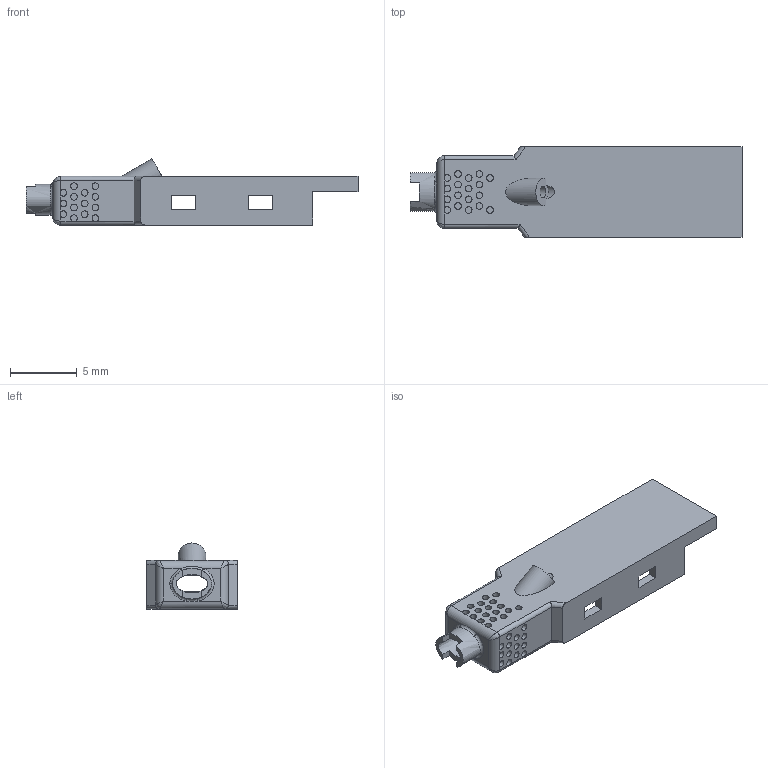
import math

import cadquery as cq


TOTAL_LENGTH = 24.9
BODY_WIDTH = 6.8
BODY_HEIGHT = 3.65
NOSE_X = 2.0
NECK_WIDTH = 5.46
NOSE_RADIUS = 0.6
EDGE_RADIUS = 0.3

SHOULDER_LENGTH = 0.5
LEFT_SHOULDER_X = 7.8
RIGHT_SHOULDER_X = 8.1

STEP_X = 21.5
TAB_UNDERSIDE_Z = 2.5

CAVITY_START_X = RIGHT_SHOULDER_X + SHOULDER_LENGTH
SIDE_WALL = 0.65

NOZZLE_Z = 1.9
NOZZLE_SEMI_Y = 1.46
NOZZLE_SEMI_Z = 1.15
NOZZLE_ROOT_RADIUS = 0.2
BORE_SEMI_Y = 1.18
BORE_SEMI_Z = 0.69
PASSAGE_FLOOR_Z = 1.32
NOZZLE_SLOT_WIDTH = 1.42
NOZZLE_SLOT_DEPTH = 0.7

WINDOW_LENGTH = 1.8
WINDOW_HEIGHT = 1.07
WINDOW_BOTTOM_Z = 1.18
WINDOW_CENTRES_X = (11.83, 17.6)

DIMPLE_DIAMETER = 0.5
DIMPLE_DEPTH = 0.4
DIMPLE_PITCH = 0.8
DIMPLE_START_X = 2.8
TOP_FULL_COLUMNS = 4
TOP_ROWS = 4
TOP_STAGGER = 0.15
SIDE_COLUMNS = 4
SIDE_ROWS = 4
SIDE_LOW_Z = 0.52
SIDE_STAGGER = 0.3

TUBE_ANGLE = 30
TUBE_RADIUS = 1.04
TUBE_BORE_DIAMETER = 0.9
TUBE_APEX_X = 9.44
TUBE_APEX_Z = 4.96
RELIEF_RADIUS = 0.6
RELIEF_END_X = 10.84


def block(start_x, end_x, width, bottom_z, top_z):
    return (
        cq.Workplane("XY", origin=(start_x, 0, bottom_z))
        .box(end_x - start_x, width, top_z - bottom_z, centered=(False, True, False))
    )


def make_body():
    half_neck = NECK_WIDTH / 2
    half_body = BODY_WIDTH / 2
    body = (
        cq.Workplane("XY")
        .moveTo(NOSE_X, -half_neck)
        .lineTo(RIGHT_SHOULDER_X, -half_neck)
        .lineTo(RIGHT_SHOULDER_X + SHOULDER_LENGTH, -half_body)
        .lineTo(TOTAL_LENGTH, -half_body)
        .lineTo(TOTAL_LENGTH, half_body)
        .lineTo(LEFT_SHOULDER_X + SHOULDER_LENGTH, half_body)
        .lineTo(LEFT_SHOULDER_X, half_neck)
        .lineTo(NOSE_X, half_neck)
        .close()
        .extrude(BODY_HEIGHT)
    )
    body = body.faces("<X").edges().fillet(NOSE_RADIUS)
    margin = EDGE_RADIUS / 2
    neck_edges = cq.selectors.BoxSelector(
        (NOSE_X + NOSE_RADIUS / 2, -half_body + margin, -margin),
        (RIGHT_SHOULDER_X + SHOULDER_LENGTH, half_body - margin, BODY_HEIGHT + margin),
    )
    body = body.edges(neck_edges).edges("#Z").fillet(EDGE_RADIUS)
    step = block(STEP_X, TOTAL_LENGTH, BODY_WIDTH, 0, TAB_UNDERSIDE_Z)
    cavity = block(CAVITY_START_X, STEP_X, BODY_WIDTH - 2 * SIDE_WALL, 0, TAB_UNDERSIDE_Z)
    return body.cut(step).cut(cavity)


def nozzle_oval(start_x, end_x, semi_y, semi_z):
    return (
        cq.Workplane("YZ", origin=(start_x, 0, NOZZLE_Z))
        .ellipse(semi_y, semi_z)
        .extrude(end_x - start_x)
    )


def add_nozzle(body):
    barrel = nozzle_oval(0, NOSE_X + NOSE_RADIUS, NOZZLE_SEMI_Y, NOZZLE_SEMI_Z)
    margin = NOZZLE_ROOT_RADIUS / 2
    root_edges = cq.selectors.BoxSelector(
        (NOSE_X - margin, -NOZZLE_SEMI_Y, NOZZLE_Z - NOZZLE_SEMI_Z / 2),
        (NOSE_X + margin, NOZZLE_SEMI_Y, NOZZLE_Z + NOZZLE_SEMI_Z / 2),
    )
    body = body.union(barrel).edges(root_edges).fillet(NOZZLE_ROOT_RADIUS)
    bore = nozzle_oval(0, NOSE_X + NOSE_RADIUS, BORE_SEMI_Y, BORE_SEMI_Z)
    passage = nozzle_oval(0, CAVITY_START_X, BORE_SEMI_Y, BORE_SEMI_Z).intersect(
        block(0, CAVITY_START_X, BODY_WIDTH, PASSAGE_FLOOR_Z, TAB_UNDERSIDE_Z)
    )
    slot = block(0, NOZZLE_SLOT_DEPTH, NOZZLE_SLOT_WIDTH, 0, BODY_HEIGHT)
    return body.cut(bore).cut(passage).cut(slot)


def cut_windows(body):
    for centre_x in WINDOW_CENTRES_X:
        window = block(
            centre_x - WINDOW_LENGTH / 2,
            centre_x + WINDOW_LENGTH / 2,
            BODY_WIDTH,
            WINDOW_BOTTOM_Z,
            WINDOW_BOTTOM_Z + WINDOW_HEIGHT,
        )
        body = body.cut(window)
    return body


def top_dimple_points():
    points = []
    for column in range(TOP_FULL_COLUMNS + 1):
        centre_y = TOP_STAGGER if column % 2 else -TOP_STAGGER
        rows = range(TOP_ROWS) if column < TOP_FULL_COLUMNS else (0, TOP_ROWS - 1)
        for row in rows:
            y = centre_y + (row - (TOP_ROWS - 1) / 2) * DIMPLE_PITCH
            points.append((DIMPLE_START_X + column * DIMPLE_PITCH, y))
    return points


def side_dimple_points():
    points = []
    for column in range(SIDE_COLUMNS):
        low_z = SIDE_LOW_Z if column % 2 else SIDE_LOW_Z + SIDE_STAGGER
        row_count = SIDE_ROWS if column % 2 else SIDE_ROWS - 1
        for row in range(row_count):
            points.append((DIMPLE_START_X + column * DIMPLE_PITCH, low_z + row * DIMPLE_PITCH))
    return points


def cut_dimples(body):
    top = (
        cq.Workplane("XY", origin=(0, 0, BODY_HEIGHT))
        .pushPoints(top_dimple_points())
        .circle(DIMPLE_DIAMETER / 2)
        .extrude(-DIMPLE_DEPTH)
    )
    side = (
        cq.Workplane("XZ", origin=(0, -NECK_WIDTH / 2, 0))
        .pushPoints(side_dimple_points())
        .circle(DIMPLE_DIAMETER / 2)
        .extrude(-DIMPLE_DEPTH)
    )
    return body.cut(top).cut(side)


def add_tube(body):
    cosine = math.cos(math.radians(TUBE_ANGLE))
    sine = math.sin(math.radians(TUBE_ANGLE))
    mouth_x = TUBE_APEX_X + TUBE_RADIUS * sine
    mouth_z = TUBE_APEX_Z - TUBE_RADIUS * cosine
    length = (mouth_z - NOZZLE_Z) / sine
    mouth = cq.Workplane(
        cq.Plane(origin=(mouth_x, 0, mouth_z), xDir=(0, 1, 0), normal=(cosine, 0, sine))
    )

    relief_drop = RELIEF_RADIUS - (
        (mouth_z - BODY_HEIGHT) * cosine + (RELIEF_END_X - mouth_x) * sine
    )
    relief = mouth.center(0, relief_drop).circle(RELIEF_RADIUS).extrude(length)

    above_roof = block(0, TOTAL_LENGTH, BODY_WIDTH, TAB_UNDERSIDE_Z, TUBE_APEX_Z)
    tube = mouth.circle(TUBE_RADIUS).extrude(-length)
    bore = mouth.circle(TUBE_BORE_DIAMETER / 2).extrude(-length)

    return body.cut(relief).union(tube.intersect(above_roof)).cut(bore)


result = make_body()
result = add_nozzle(result)
result = cut_windows(result)
result = cut_dimples(result)
result = add_tube(result)